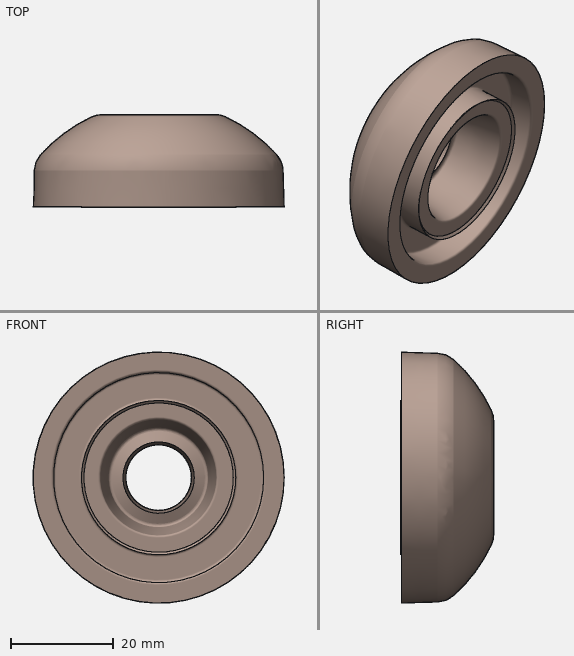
import cadquery as cq
import math

length = 18.2
rim_radius = 24.5
rim_setback = 0.15

dome_radius = 30.9
dome_center_y = -10.3
wall_taper = 0.03
shoulder_radius = 4.9
crown_radius = 4.9

groove_outer_radius = 20.5
hub_radius = 15.05
hub_lip = 0.5
groove_floor_y = 5.35

cup_mouth_radius = 11.35
cup_floor_radius = 9.6
cup_floor_y = 10.35
bore_front_radius = 6.95
bore_front_y = 9.35
bore_back_radius = 6.35

edge_fillet = 0.5


def dome_radius_at(y):
    return math.sqrt(dome_radius**2 - (y - dome_center_y) ** 2)


def wall_radius_at(y):
    return rim_radius - wall_taper * (y - rim_setback)


def wall_dome_crossing():
    """Y at which the tapered wall line meets the dome sphere."""
    axis_radius = wall_radius_at(dome_center_y)
    a = 1 + wall_taper**2
    b = -2 * wall_taper * axis_radius
    c = axis_radius**2 - dome_radius**2
    return dome_center_y + (-b + math.sqrt(b**2 - 4 * a * c)) / (2 * a)


shoulder_y = wall_dome_crossing()
shoulder = (wall_radius_at(shoulder_y), shoulder_y)
crown = (dome_radius_at(length), length)
dome_mid_y = (shoulder_y + length) / 2
dome_mid = (dome_radius_at(dome_mid_y), dome_mid_y)

cup_mouth = (cup_mouth_radius, hub_lip)
hub_face_edge = (hub_radius - hub_lip, hub_lip)
cup_floor = (cup_floor_radius, cup_floor_y)
hub_tip = (hub_radius, 0)
hub_base = (hub_radius, groove_floor_y)
groove_corner = (groove_outer_radius, groove_floor_y)
groove_mouth = (groove_outer_radius, rim_setback)

body = (
    cq.Workplane("XY")
    .moveTo(*cup_mouth)
    .lineTo(*hub_face_edge)
    .lineTo(*hub_tip)
    .lineTo(*hub_base)
    .lineTo(*groove_corner)
    .lineTo(*groove_mouth)
    .lineTo(rim_radius, rim_setback)
    .lineTo(*shoulder)
    .threePointArc(dome_mid, crown)
    .lineTo(bore_back_radius, length)
    .lineTo(bore_front_radius, bore_front_y)
    .lineTo(*cup_floor)
    .close()
    .revolve(360, (0, 0, 0), (0, 1, 0))
)


def fillet_circles(solid, circles, radius):
    """Fillet the circular edges that pass through the given (radius, Y) points."""
    tolerance = 0.005

    def is_wanted(edge):
        if edge.geomType() != "CIRCLE":
            return False
        return any(
            abs(edge.radius() - circle_radius) < tolerance and abs(edge.Center().y - y) < tolerance
            for circle_radius, y in circles
        )

    return solid.newObject([e for e in solid.edges().vals() if is_wanted(e)]).fillet(radius)


body = fillet_circles(body, [shoulder], shoulder_radius)
body = fillet_circles(body, [crown], crown_radius)
small_corners = [cup_mouth, cup_floor, hub_base, groove_corner, groove_mouth]
result = fillet_circles(body, small_corners, edge_fillet)